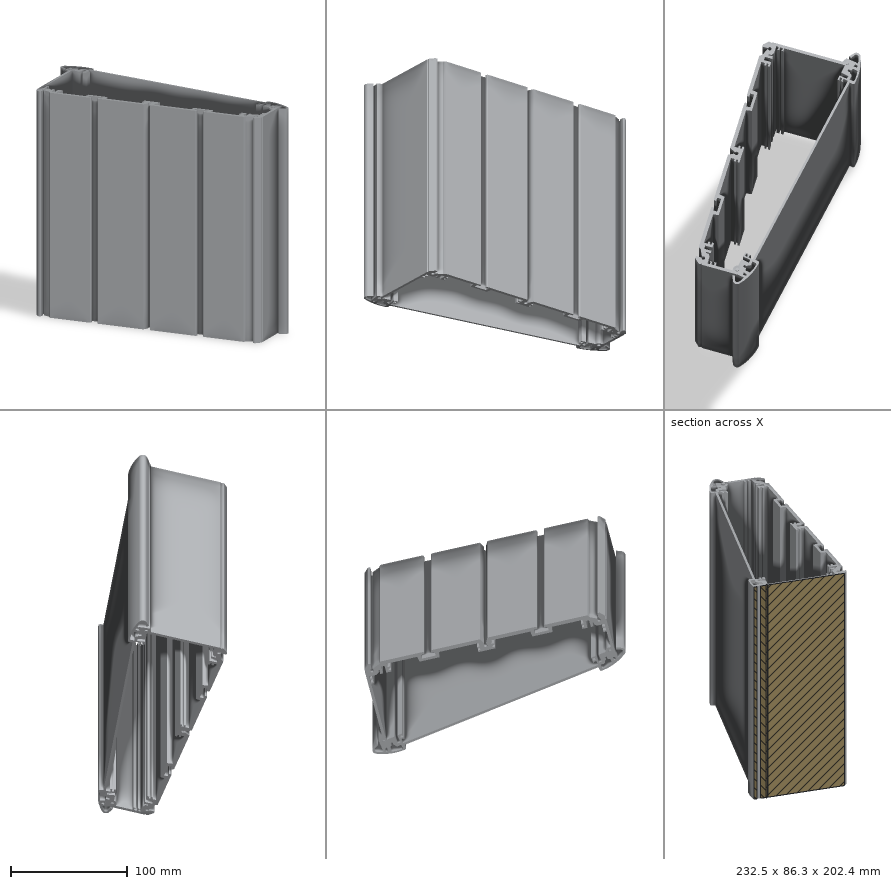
import cadquery as cq
import math

LENGTH = 200.0
PIN_OVERHANG = 1.2

PIN_RADIUS = 1.5
LID_SLOPE = 10.0
PIN_SPACING = 211.4
LID_CENTRE = (-2.0, 55.8)

half_spacing = PIN_SPACING / 2
pin_dx = half_spacing * math.cos(math.radians(LID_SLOPE))
pin_dy = half_spacing * math.sin(math.radians(LID_SLOPE))
LEFT_PIN = (LID_CENTRE[0] - pin_dx, LID_CENTRE[1] + pin_dy)
RIGHT_PIN = (LID_CENTRE[0] + pin_dx, LID_CENTRE[1] - pin_dy)

PLATE_BOTTOM = 7.7
PLATE_TOP = 9.8
CAP_INNER_EDGE = 15.0
BLOCK_BOTTOM = -1.0
BLOCK_RIGHT = 10.2
HOLDER_LEFT = 13.0
HOLDER_RIGHT = 14.5
HOLDER_TOP = 6.0
STUB_BOTTOM = 6.7
LID_RIB_BASES = (-1.0, 2.3)

FLOOR = 3.3
WALL_OUTER = 106.3
WALL_INNER = 103.7
RAIL_TOP = 11.5
RAIL_INNER = 86.3
RAIL_OUTER = 88.5
POST_INNER = 91.6
POST_OUTER = 94.0
RAIL_SLOT_FLOOR = 4.9
KEYHOLE_RADIUS = 1.5
KEYHOLE_HEIGHT = 6.7
CORNER_KEYHOLE_X = 100.0
CORNER_NECK_X = 99.0
WALL_RIB_TOPS = (14.9, 18.5)
WALL_ABOVE_PIN = 2.3
LIP_RADIUS = 3.7

BOSS_HALF_WIDTH = 5.3
TOOTH_LENGTH = 2.0
TOOTH_THICKNESS = 1.6
TOOTH_BASES = (6.5, RAIL_TOP - TOOTH_THICKNESS)

RIB_LENGTH = 2.8
RIB_THICKNESS = 1.28
RIB_TIP = 1.0
RIB_TIP_WIDTH = 1.0

CHANNEL_X = 49.8
CHANNEL_TOP = 8.1
CHANNEL_TOP_HALF_WIDTH = 8.8
CHANNEL_BASE_HALF_WIDTH = 9.5
CAVITY_HALF_WIDTH = 6.0
CAVITY_BOTTOM = 2.3
CAVITY_TOP = 5.8
MOUTH_HALF_WIDTH = 3.0
MOUTH_BEVEL = 0.81

GROOVE_HALF_WIDTH = 3.3
GROOVE_NECK = 1.0
GROOVE_NECK_HEIGHT = 4.5


def prism(points):
    """Straight-sided outline, extruded over the full length."""
    return cq.Workplane("XY").polyline(points).close().extrude(LENGTH)


def bar(x0, x1, y0, y1):
    """Rectangular bar between two X and two Y positions."""
    return prism([(x0, y0), (x1, y0), (x1, y1), (x0, y1)])


def rod(centre, radius):
    """Round bar over the full length."""
    return cq.Workplane("XY").center(*centre).circle(radius).extrude(LENGTH)


def both_sides(half):
    """Join a shape with its mirror image across the plane X = 0."""
    return half.union(half.mirror("YZ"))


def tipped_rib(root_x, base_y, x_direction, y_direction):
    """Thin rib that leaves a wall at root_x and ends in a tip turned toward y_direction."""
    outline = [
        (0, 0),
        (RIB_LENGTH, 0),
        (RIB_LENGTH, RIB_THICKNESS + RIB_TIP),
        (RIB_LENGTH - RIB_TIP_WIDTH, RIB_THICKNESS),
        (0, RIB_THICKNESS),
    ]
    return prism([(root_x + x_direction * x, base_y + y_direction * y) for x, y in outline])


def lid_cap():
    """Rounded cap at one lid end, with its hinge block and holder strip; the pin is at the origin."""
    return (
        cq.Workplane("XY")
        .moveTo(CAP_INNER_EDGE, PLATE_BOTTOM)
        .lineTo(CAP_INNER_EDGE, 13.0)
        .threePointArc((14.7, 13.5), (13.3, 14.0))
        .threePointArc((1.0, 12.3), (-11.0, 7.2))
        .threePointArc((-12.3, 4.2), (-10.7, 1.2))
        .lineTo(-6.3, -1.5)
        .lineTo(-5.5, 0.7)
        .lineTo(-9.5, 2.5)
        .threePointArc((-10.5, 4.2), (-9.5, 5.8))
        .threePointArc((-6.7, 7.5), (-3.7, 8.1))
        .lineTo(-3.7, STUB_BOTTOM)
        .lineTo(-1.9, STUB_BOTTOM)
        .lineTo(-1.9, 8.5)
        .threePointArc((-1.0, 9.3), (0, 8.5))
        .lineTo(0.35, 5.8)
        .lineTo(-1.28, 4.0)
        .lineTo(-1.28, 0)
        .lineTo(2.5, -0.7)
        .lineTo(3.0, BLOCK_BOTTOM)
        .lineTo(BLOCK_RIGHT, BLOCK_BOTTOM)
        .lineTo(BLOCK_RIGHT, HOLDER_TOP)
        .lineTo(HOLDER_LEFT, HOLDER_TOP)
        .lineTo(HOLDER_LEFT, BLOCK_BOTTOM)
        .lineTo(HOLDER_RIGHT, BLOCK_BOTTOM)
        .lineTo(HOLDER_RIGHT, PLATE_BOTTOM)
        .close()
        .extrude(LENGTH)
    )


def cap_chamber():
    """Hollow inside the cap, with a screw slot that runs down into the hinge block."""
    return (
        cq.Workplane("XY")
        .moveTo(2.5, 6.5)
        .lineTo(2.5, 11.0)
        .threePointArc((7.0, 12.0), (11.6, 12.5))
        .lineTo(12.5, 11.6)
        .lineTo(12.5, 8.4)
        .lineTo(9.3, 8.5)
        .threePointArc((8.1, 8.0), (7.5, 6.3))
        .lineTo(6.5, 6.0)
        .lineTo(6.5, 3.3)
        .lineTo(4.7, 3.3)
        .lineTo(4.7, 6.0)
        .close()
        .extrude(LENGTH)
    )


def build_lid():
    """Sloping plate with a hinge cap at each end."""
    cap = lid_cap().cut(cap_chamber()).cut(rod((0, 0), PIN_RADIUS))
    for base in LID_RIB_BASES:
        cap = cap.union(tipped_rib(HOLDER_RIGHT, base, 1, 1))
    half = cap.translate((-half_spacing, 0, 0))
    half = half.union(bar(CAP_INNER_EDGE - half_spacing, 0, PLATE_BOTTOM, PLATE_TOP))
    return place_on_slope(both_sides(half))


def place_on_slope(shape):
    """Tilt a shape built about the lid centre and move it into place."""
    return shape.rotate((0, 0, 0), (0, 0, 1), -LID_SLOPE).translate((*LID_CENTRE, 0))


def floor_and_corner():
    """Right half of the floor, up to the corner shelf and its outer lip."""
    return prism([
        (0, 0),
        (91.5, 0),
        (92.5, 2.0),
        (98.5, 4.9),
        (CORNER_NECK_X, 4.9),
        (CORNER_NECK_X, KEYHOLE_HEIGHT),
        (CORNER_KEYHOLE_X, KEYHOLE_HEIGHT),
        (CORNER_KEYHOLE_X, 0.5),
        (100.5, 0),
        (102.0, 0),
        (106.0, 4.2),
        (106.0, 5.5),
        (105.3, 6.5),
        (WALL_OUTER, 7.2),
        (WALL_OUTER, RAIL_TOP),
        (97.2, RAIL_TOP),
        (94.9, 9.8),
        (94.9, 7.5),
        (POST_OUTER, 7.5),
        (POST_OUTER, RAIL_TOP),
        (POST_INNER, RAIL_TOP),
        (POST_INNER, RAIL_SLOT_FLOOR),
        (RAIL_OUTER, RAIL_SLOT_FLOOR),
        (RAIL_OUTER, RAIL_TOP),
        (RAIL_INNER, RAIL_TOP),
        (RAIL_INNER, FLOOR),
        (0, FLOOR),
    ])


def channel_body():
    """Raised cover of one slotted channel, slightly wider at the floor than at its top."""
    return prism([
        (CHANNEL_X - CHANNEL_BASE_HALF_WIDTH, 0),
        (CHANNEL_X + CHANNEL_BASE_HALF_WIDTH, 0),
        (CHANNEL_X + CHANNEL_BASE_HALF_WIDTH, FLOOR),
        (CHANNEL_X + CHANNEL_TOP_HALF_WIDTH, CHANNEL_TOP),
        (CHANNEL_X - CHANNEL_TOP_HALF_WIDTH, CHANNEL_TOP),
        (CHANNEL_X - CHANNEL_BASE_HALF_WIDTH, FLOOR),
    ])


def channel_hollow():
    """T-shaped cavity whose narrow mouth opens through the underside with bevelled edges."""
    cavity = bar(CHANNEL_X - CAVITY_HALF_WIDTH, CHANNEL_X + CAVITY_HALF_WIDTH, CAVITY_BOTTOM, CAVITY_TOP)
    mouth_left = CHANNEL_X - MOUTH_HALF_WIDTH
    mouth_right = CHANNEL_X + MOUTH_HALF_WIDTH
    mouth = prism([
        (mouth_left - MOUTH_BEVEL, 0),
        (mouth_right + MOUTH_BEVEL, 0),
        (mouth_right, MOUTH_BEVEL),
        (mouth_right, CAVITY_BOTTOM),
        (mouth_left, CAVITY_BOTTOM),
        (mouth_left, MOUTH_BEVEL),
    ])
    return cavity.union(mouth)


def centre_groove():
    """V-shaped groove that narrows to a neck below a round keyhole."""
    opening = prism([
        (-GROOVE_HALF_WIDTH, 0),
        (GROOVE_HALF_WIDTH, 0),
        (GROOVE_NECK, GROOVE_NECK_HEIGHT),
        (GROOVE_NECK, KEYHOLE_HEIGHT),
        (-GROOVE_NECK, KEYHOLE_HEIGHT),
        (-GROOVE_NECK, GROOVE_NECK_HEIGHT),
    ])
    return opening.union(rod((0, KEYHOLE_HEIGHT), KEYHOLE_RADIUS))


def housing_floor():
    """Whole floor with boss, rails, channels, grooves and corners."""
    half = floor_and_corner()
    half = half.union(bar(0, BOSS_HALF_WIDTH, 0, RAIL_TOP))
    for base in TOOTH_BASES:
        top = base + TOOTH_THICKNESS
        half = half.union(bar(BOSS_HALF_WIDTH, BOSS_HALF_WIDTH + TOOTH_LENGTH, base, top))
        half = half.union(bar(RAIL_INNER - TOOTH_LENGTH, RAIL_INNER, base, top))
    half = half.union(channel_body()).cut(channel_hollow())
    half = half.cut(rod((CORNER_KEYHOLE_X, KEYHOLE_HEIGHT), KEYHOLE_RADIUS))
    return both_sides(half).cut(centre_groove())


def hook_head():
    """Hook tip beside the left pin, in the lid's tilted frame about that pin."""
    head = prism([
        (-3.7, -0.7),
        (-4.0, STUB_BOTTOM),
        (-2.0, STUB_BOTTOM),
        (0.35, 5.8),
        (-1.28, 4.0),
        (-1.28, -0.7),
    ])
    return head.translate((-half_spacing, 0, 0))


def wall_ribs():
    """Two ribs low on the inside of each wall, with tips turned down."""
    lower, upper = [tipped_rib(WALL_INNER, top, -1, -1) for top in WALL_RIB_TOPS]
    return both_sides(lower.union(upper))


def left_wall():
    """Left wall, which widens outward below its pin to carry the hook."""
    x, y = LEFT_PIN
    wall = bar(-WALL_OUTER, -WALL_INNER, RAIL_TOP, y)
    seat = prism([
        (x - 3.3, y + 1.2),
        (x - 4.2, y - 1.9),
        (-WALL_OUTER, y - 4.5),
        (-WALL_INNER, y - 4.5),
        (-WALL_INNER, y - 0.2),
        (x, y),
    ])
    return wall.union(seat)


def right_wall():
    """Right wall, with a curved lip that cradles its pin from below."""
    x, y = RIGHT_PIN
    wall = bar(WALL_INNER, WALL_OUTER, RAIL_TOP, y + WALL_ABOVE_PIN)
    lip = rod(RIGHT_PIN, LIP_RADIUS).intersect(bar(x - LIP_RADIUS, x, y - LIP_RADIUS, y))
    bridge = bar(x, WALL_INNER, y - LIP_RADIUS, y)
    return wall.union(lip).union(bridge)


def build_housing(lid):
    """Housing whose hooks are cut back to meet the lid and the pins without overlap."""
    hooks = place_on_slope(both_sides(hook_head()))
    walls = left_wall().union(right_wall()).union(wall_ribs())
    housing = housing_floor().union(walls).union(hooks).cut(lid)
    for pin_place in (LEFT_PIN, RIGHT_PIN):
        housing = housing.cut(rod(pin_place, PIN_RADIUS))
    return housing


def build_pin(centre):
    """Round hinge pin that stands out past both ends of the housing."""
    pin_length = LENGTH + 2 * PIN_OVERHANG
    return cq.Workplane("XY", origin=(*centre, -PIN_OVERHANG)).circle(PIN_RADIUS).extrude(pin_length)


lid = build_lid()
housing = build_housing(lid)
pins = [build_pin(centre) for centre in (LEFT_PIN, RIGHT_PIN)]

result = cq.Compound.makeCompound([housing.val(), lid.val(), *[pin.val() for pin in pins]])